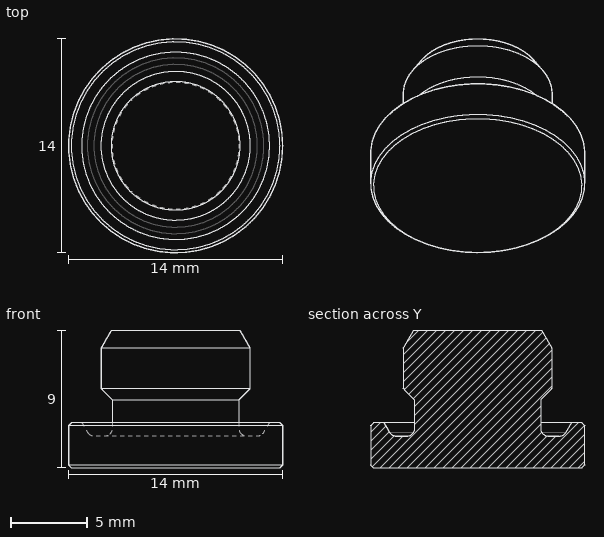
import cadquery as cq
import math

flange_radius = 7.0
flange_height = 3.0
flange_chamfer = 0.2

total_height = 9.0
neck_radius = 4.15
neck_top = 4.47
head_radius = 4.87
head_bottom = 5.2
head_taper_height = 1.15
head_taper_angle = math.radians(30)
head_top_radius = head_radius - head_taper_height * math.tan(head_taper_angle)

groove_radius = 6.13
groove_depth = 0.9
groove_fillet = 0.49
groove_wall_angle = math.radians(30)

groove_floor = flange_height - groove_depth
fillet_center_z = groove_floor + groove_fillet

wall_end_z = fillet_center_z - groove_fillet * math.sin(groove_wall_angle)
wall_end_radius = groove_radius - (flange_height - wall_end_z) * math.tan(groove_wall_angle)
outer_fillet_center = wall_end_radius - groove_fillet * math.cos(groove_wall_angle)
inner_fillet_center = neck_radius + groove_fillet


def arc_point(center_radius, angle):
    """Point on a groove fillet, at an angle measured from the outward radial direction."""
    return (
        center_radius + groove_fillet * math.cos(angle),
        fillet_center_z + groove_fillet * math.sin(angle),
    )


outer_mid_angle = -(math.pi / 2 + groove_wall_angle) / 2
inner_mid_angle = -3 * math.pi / 4

profile = (
    cq.Workplane("XZ")
    .moveTo(0, 0)
    .lineTo(flange_radius - flange_chamfer, 0)
    .lineTo(flange_radius, flange_chamfer)
    .lineTo(flange_radius, flange_height - flange_chamfer)
    .lineTo(flange_radius - flange_chamfer, flange_height)
    .lineTo(groove_radius, flange_height)
    .lineTo(wall_end_radius, wall_end_z)
    .threePointArc(arc_point(outer_fillet_center, outer_mid_angle), (outer_fillet_center, groove_floor))
    .lineTo(inner_fillet_center, groove_floor)
    .threePointArc(arc_point(inner_fillet_center, inner_mid_angle), (neck_radius, fillet_center_z))
    .lineTo(neck_radius, neck_top)
    .lineTo(head_radius, head_bottom)
    .lineTo(head_radius, total_height - head_taper_height)
    .lineTo(head_top_radius, total_height)
    .lineTo(0, total_height)
    .close()
)

result = profile.revolve(360, (0, 0, 0), (0, 1, 0))